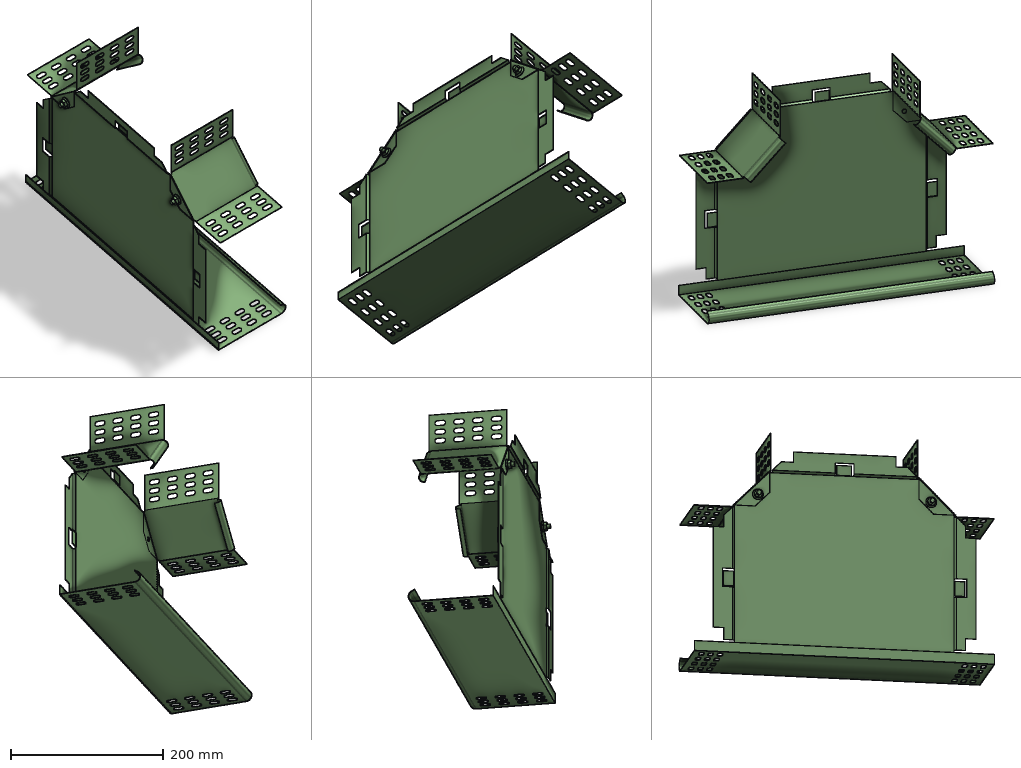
import cadquery as cq
import math


SHEET = 1.0
ROOT2 = math.sqrt(2)

RAIL_LENGTH = 400.0
RAIL_DEPTH = 114.5
RAIL_FLANGE_HEIGHT = 14.0
RAIL_CURL_RADIUS = 8.0
RAIL_CURL_ANGLE = 150.0
RAIL_CURL_LIP = 5.0

SLOT_LENGTH = 14.0
SLOT_WIDTH = 7.0
SLOT_COLUMNS = 3
SLOT_ROWS = 4
SLOT_COLUMN_PITCH = 12.5
SLOT_ROW_PITCH = 25.0
SLOT_CENTRE_FROM_END = 24.5
LEG_SLOT_CENTRE_Y = 55.0
RAIL_SLOT_CENTRE_Y = 53.5

LEG_LENGTH = 50.5
LEG_TOP = 199.0
TOTAL_HEIGHT = 301.0
LEG_FRONT = 3.0
LEG_BACK = 107.5
WALL_SLOPE = 45.0
BEND_SETBACK = 1.0
BRACKET_DEPTH = 112.0
BRACKET_CURL_RADIUS = 7.0
BRACKET_CURL_ANGLE = 180.0
BRACKET_CURL_LIP = 1.0
BRACKET_FLANGE_WIDTH = 21.0

WEB_HALF_WIDTH = 146.5
WEB_TOP = 247.0
EDGE_CENTRE_Z = 101.0
EDGE_STEP = 3 * SHEET
STEP_RUN = 3.0
NECK_REACH = 15.0
NECK_HALF_LENGTH = 84.5
FLANGE_REACH = 29.0
FLANGE_HALF_LENGTH = 68.5
WINDOW_WIDTH = 25.0
WINDOW_REACH = 16.5
TAB_WIDTH = 20.0
TAB_REACH = 14.5

BOLT_DIAMETER = 6.0
BOLT_TIP = 11.0
BOLT_FROM_WALL = 12.0
HEXAGON_SIDES = 6
NUT_ACROSS_FLATS = 10.0
NUT_HEIGHT = 6.5
NUT_FLANGE_DIAMETER = 14.5
NUT_FLANGE_RIM = 1.0
NUT_CONE_TOP_DIAMETER = 11.0
NUT_CONE_HEIGHT = 1.5

LOWER_CORNER = (LEG_LENGTH - RAIL_LENGTH / 2, LEG_TOP)
WALL_RISE = TOTAL_HEIGHT - LEG_LENGTH - LEG_TOP
UPPER_CORNER = (LOWER_CORNER[0] + WALL_RISE, LOWER_CORNER[1] + WALL_RISE)
WALL_MIDDLE = (LOWER_CORNER[0] + WALL_RISE / 2, LOWER_CORNER[1] + WALL_RISE / 2)
WALL_LOWER_END = (LOWER_CORNER[0] + BEND_SETBACK, LOWER_CORNER[1] + BEND_SETBACK)
WALL_UPPER_END = (UPPER_CORNER[0] - BEND_SETBACK, UPPER_CORNER[1] - BEND_SETBACK)

BOLT_X = WALL_MIDDLE[0] + BOLT_FROM_WALL / ROOT2
BOLT_Z = WALL_MIDDLE[1] - BOLT_FROM_WALL / ROOT2
WEB_FRONT = SHEET
WEB_BACK = 2 * SHEET


def prism_along_y(points, front, back):
    """Extrude an outline given as (x, z) points from Y = front to Y = back."""
    outline = cq.Workplane("XZ", origin=(0, front, 0)).polyline(points).close()
    return outline.extrude(front - back)


def cylinder_along_y(diameter, x, z, front, back):
    return cq.Workplane("XZ", origin=(x, front, z)).circle(diameter / 2).extrude(front - back)


def curled_sheet(plane, length, depth, radius, angle, lip):
    """Flat sheet from Y = 0 whose back edge curls up into an open hook with a straight lip."""
    centre = (depth - radius, radius)
    turn = math.radians(angle)

    def on_curl(r, a):
        return (centre[0] + r * math.sin(a), centre[1] - r * math.cos(a))

    def lip_end(r):
        x, y = on_curl(r, turn)
        return (x + lip * math.cos(turn), y + lip * math.sin(turn))

    inner = radius - SHEET
    profile = (
        cq.Workplane(plane)
        .moveTo(0, 0)
        .lineTo(centre[0], 0)
        .threePointArc(on_curl(radius, turn / 2), on_curl(radius, turn))
        .lineTo(*lip_end(radius))
        .lineTo(*lip_end(inner))
        .lineTo(*on_curl(inner, turn))
        .threePointArc(on_curl(inner, turn / 2), (centre[0], SHEET))
        .lineTo(0, SHEET)
        .close()
    )
    return profile.extrude(length)


def slot_cutters(centre_x, centre_y, z):
    """Slots through a horizontal sheet whose middle plane lies at height z."""
    return (
        cq.Workplane("XY", origin=(centre_x, centre_y, z))
        .rarray(SLOT_COLUMN_PITCH, SLOT_ROW_PITCH, SLOT_COLUMNS, SLOT_ROWS)
        .slot2D(SLOT_LENGTH, SLOT_WIDTH, 90)
        .extrude(SHEET, both=True)
    )


def make_rail():
    end_plane = cq.Plane(origin=(-RAIL_LENGTH / 2, 0, 0), xDir=(0, 1, 0), normal=(1, 0, 0))
    rail = curled_sheet(
        end_plane, RAIL_LENGTH, RAIL_DEPTH, RAIL_CURL_RADIUS, RAIL_CURL_ANGLE, RAIL_CURL_LIP
    )
    flange = cq.Workplane("XY").box(
        RAIL_LENGTH, SHEET, RAIL_FLANGE_HEIGHT, centered=(True, False, False)
    )
    rail = rail.union(flange)
    for side in (-1, 1):
        slot_x = side * (RAIL_LENGTH / 2 - SLOT_CENTRE_FROM_END)
        rail = rail.cut(slot_cutters(slot_x, RAIL_SLOT_CENTRE_Y, SHEET / 2))
    return rail


def bracket_leg():
    """Horizontal leg of the left bracket, with the short bend that joins the sloping wall."""
    corner_x, corner_z = LOWER_CORNER
    bend_shift = SHEET * math.tan(math.radians(WALL_SLOPE / 2))
    outline = [
        (-RAIL_LENGTH / 2, corner_z),
        LOWER_CORNER,
        WALL_LOWER_END,
        (WALL_LOWER_END[0] + SHEET / ROOT2, WALL_LOWER_END[1] - SHEET / ROOT2),
        (corner_x + bend_shift, corner_z - SHEET),
        (-RAIL_LENGTH / 2, corner_z - SHEET),
    ]
    slot_x = SLOT_CENTRE_FROM_END - RAIL_LENGTH / 2
    slots = slot_cutters(slot_x, LEG_SLOT_CENTRE_Y, corner_z - SHEET / 2)
    return prism_along_y(outline, LEG_FRONT, LEG_BACK).cut(slots)


def bracket_flange():
    """Front flange lying on the plate's web, with its inner corner cut parallel to the wall."""
    cut_shift = BRACKET_FLANGE_WIDTH * ROOT2
    outline = [
        WALL_LOWER_END,
        WALL_UPPER_END,
        (WALL_UPPER_END[0], WALL_UPPER_END[1] - cut_shift),
        (WALL_LOWER_END[0] + cut_shift, WALL_LOWER_END[1]),
    ]
    return prism_along_y(outline, 0, SHEET)


def make_left_bracket():
    wall_plane = cq.Plane(
        origin=(WALL_UPPER_END[0], 0, WALL_UPPER_END[1]), xDir=(0, 1, 0), normal=(-1, 0, -1)
    )
    wall_length = (WALL_UPPER_END[0] - WALL_LOWER_END[0]) * ROOT2
    wall = curled_sheet(
        wall_plane,
        wall_length,
        BRACKET_DEPTH,
        BRACKET_CURL_RADIUS,
        BRACKET_CURL_ANGLE,
        BRACKET_CURL_LIP,
    )
    lower_leg = bracket_leg()
    upper_leg = lower_leg.mirror(cq.Vector(1, 0, 1), (WALL_MIDDLE[0], 0, WALL_MIDDLE[1]))
    bracket = wall.union(bracket_flange()).union(lower_leg).union(upper_leg)
    return bracket.cut(cylinder_along_y(BOLT_DIAMETER, BOLT_X, BOLT_Z, 0, SHEET))


def stepped_strip(half_length, offset, run, reach):
    """Strip leaving the web's edge at Z = 0 and stepping in Y by the offset over the run."""
    front = WEB_FRONT + offset
    profile = [
        (WEB_FRONT, 0),
        (front, run),
        (front, reach),
        (front + SHEET, reach),
        (front + SHEET, run),
        (WEB_BACK, 0),
    ]
    strip = cq.Workplane("YZ").polyline(profile).close()
    return strip.extrude(half_length, both=True)


def edge_flange(chamfered_start):
    """Edge flange along X with Z = 0 at the web's edge: stepped forward, windowed, with a tab."""
    chamfer_end = NECK_HALF_LENGTH + NECK_REACH - STEP_RUN
    start = chamfer_end if chamfered_start else NECK_HALF_LENGTH
    outline = [
        (-start, 0),
        (-start, STEP_RUN),
        (-NECK_HALF_LENGTH, NECK_REACH),
        (-FLANGE_HALF_LENGTH, NECK_REACH),
        (-FLANGE_HALF_LENGTH, FLANGE_REACH),
        (FLANGE_HALF_LENGTH, FLANGE_REACH),
        (FLANGE_HALF_LENGTH, NECK_REACH),
        (NECK_HALF_LENGTH, NECK_REACH),
        (chamfer_end, STEP_RUN),
        (chamfer_end, 0),
    ]
    strip = stepped_strip(chamfer_end, -EDGE_STEP, STEP_RUN, FLANGE_REACH)
    flange = strip.intersect(prism_along_y(outline, -EDGE_STEP, WEB_BACK))
    window = cq.Workplane("XY").box(
        WINDOW_WIDTH, 4 * EDGE_STEP, WINDOW_REACH, centered=(True, True, False)
    )
    tab = stepped_strip(TAB_WIDTH / 2, SHEET, SHEET, TAB_REACH)
    return flange.cut(window).union(tab)


def make_plate():
    wall_inner = LOWER_CORNER[1] - LOWER_CORNER[0] - SHEET * ROOT2
    left_half = [
        (-WEB_HALF_WIDTH, RAIL_FLANGE_HEIGHT),
        (-WEB_HALF_WIDTH, wall_inner - WEB_HALF_WIDTH),
        (WEB_TOP - wall_inner, WEB_TOP),
    ]
    right_half = [(-x, z) for x, z in reversed(left_half)]
    plate = prism_along_y(left_half + right_half, WEB_FRONT, WEB_BACK)

    top_edge = edge_flange(True).translate((0, 0, WEB_TOP))
    left_edge = (
        edge_flange(False)
        .rotate((0, 0, 0), (0, 1, 0), -90)
        .translate((-WEB_HALF_WIDTH, 0, EDGE_CENTRE_Z))
    )
    plate = plate.union(top_edge).union(left_edge).union(left_edge.mirror("YZ"))
    for side in (-1, 1):
        plate = plate.cut(cylinder_along_y(BOLT_DIAMETER, side * BOLT_X, BOLT_Z, WEB_FRONT, WEB_BACK))
    return plate


def make_bolt(x):
    return cylinder_along_y(BOLT_DIAMETER, x, BOLT_Z, -BOLT_TIP, WEB_BACK)


def make_nut(x):
    corner_diameter = NUT_ACROSS_FLATS / math.cos(math.pi / HEXAGON_SIDES)
    seat = cq.Workplane("XZ", origin=(x, 0, BOLT_Z))
    hexagon = seat.polygon(HEXAGON_SIDES, corner_diameter).extrude(NUT_HEIGHT)
    rim = seat.circle(NUT_FLANGE_DIAMETER / 2).extrude(NUT_FLANGE_RIM)
    cone = cq.Workplane(
        cq.Solid.makeCone(
            NUT_FLANGE_DIAMETER / 2,
            NUT_CONE_TOP_DIAMETER / 2,
            NUT_CONE_HEIGHT,
            cq.Vector(x, -NUT_FLANGE_RIM, BOLT_Z),
            cq.Vector(0, -1, 0),
        )
    )
    nut = hexagon.union(rim).union(cone)
    return nut.cut(cylinder_along_y(BOLT_DIAMETER, x, BOLT_Z, -NUT_HEIGHT, 0))


plate = make_plate()
rail = make_rail()
left_bracket = make_left_bracket()
brackets = [left_bracket, left_bracket.mirror("YZ")]
bolts = [make_bolt(side * BOLT_X) for side in (-1, 1)]
nuts = [make_nut(side * BOLT_X) for side in (-1, 1)]

bodies = [plate, rail, *brackets, *bolts, *nuts]
result = cq.Compound.makeCompound([body.solids().val() for body in bodies])